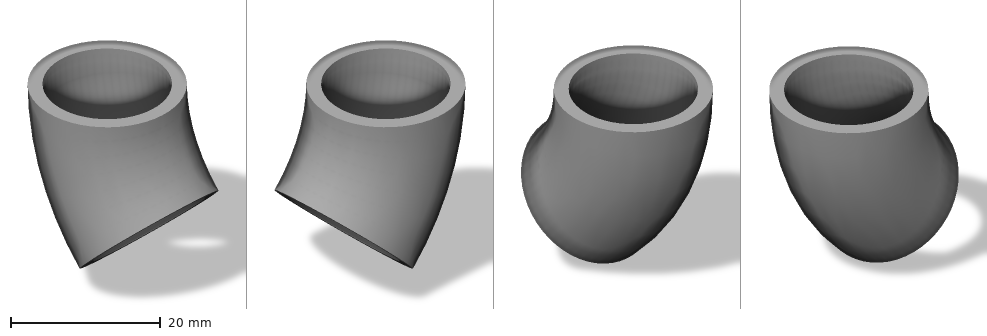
import cadquery as cq

outer_diameter = 21.3
wall_thickness = 2.0
bend_radius = 27.5
bend_angle = 45.0

inner_diameter = outer_diameter - 2 * wall_thickness


def pipe_elbow():
    """Sweep the ring-shaped pipe section around a bend axis parallel to Y."""
    section = cq.Workplane("XY").circle(outer_diameter / 2).circle(inner_diameter / 2)
    axis_start = (bend_radius, 0, 0)
    axis_end = (bend_radius, -1, 0)
    return section.revolve(bend_angle, axis_start, axis_end)


result = pipe_elbow()